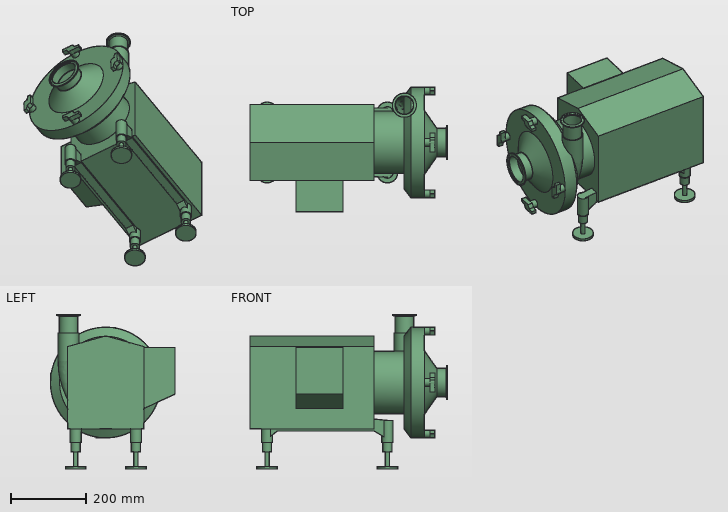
import cadquery as cq
import math


overall_height = 410.0

housing_length = 330.0
housing_half_width = 101.0
housing_bottom_z = -123.2
housing_eave_z = 95.3
housing_ridge_z = 123.7

box_start_x = 122.5
box_length = 125.0
box_front_y = -184.0
box_top_z = 93.0
box_front_bottom_z = -31.0
box_back_bottom_z = -69.0

adapter_radius = 166.0 / 2
casing_radius = 294.0 / 2
casing_back_radius = 122.6
casing_back_x = 408.7
casing_rim_x = 427.0
casing_front_x = 463.0
cover_cone_radius = 85.5
cover_cone_end_x = 496.0

inlet_end_x = 525.0
inlet_radius = 76.3 / 2
inlet_bore = 72.3
inlet_ferrule_radius = 91.0 / 2

outlet_x = 410.0
outlet_y = 98.9
outlet_top_z = 180.0
outlet_step_z = 132.0
outlet_bottom_z = 56.0
outlet_radius = 50.8 / 2
outlet_lower_radius = 55.8 / 2
outlet_bore_radius = 47.8 / 2
outlet_ferrule_radius = 64.0 / 2
volute_wall = outlet_lower_radius - outlet_bore_radius
volute_sections = [(0.0, 100.0, 19.0), (32.0, 105.0, 6.0)]

ferrule_rim = 2.8
ferrule_bevel = 1.6
ferrule_bevel_height = 4.0

nut_count = 4
nut_hub_radius = 21.0 / 2
nut_back_x = 477.6
nut_front_x = 491.0
wing_half_span = 25.3
wing_face = 10.06
wing_root = 6.4
wing_knee = 12.7
wing_knee_offset = 0.2
wing_tip_offset = 1.6

rear_leg_x = 45.7
front_leg_x = 365.0
leg_y = 80.0
leg_top_z = -100.2
leg_step_z = -158.8
sleeve_bottom_z = -184.0
foot_thickness = 7.0
foot_bottom_z = outlet_top_z - overall_height
leg_diameter = 30.0
sleeve_diameter = 25.0
spindle_diameter = 12.0
foot_diameter = 55.0
rail_width = 23.0
rail_bottom_z = -129.0
rail_end_bottom_z = -150.0
rail_flare_start_x = 73.3
rail_flare_end_x = housing_length
rail_shoulder_z = -96.6


def cylinder_z(x, y, diameter, bottom_z, top_z):
    """Upright cylinder between two heights."""
    disc = cq.Workplane("XY", origin=(x, y, bottom_z)).circle(diameter / 2)
    return disc.extrude(top_z - bottom_z)


def cylinder_x(y, z, diameter, start_x, end_x):
    """Cylinder along X between two stations."""
    disc = cq.Workplane("YZ", origin=(start_x, y, z)).circle(diameter / 2)
    return disc.extrude(end_x - start_x)


def ferrule_points(pipe_radius, rim_radius, end):
    """Outline (radius, station) of a ferrule, from its rim to the foot of its bevel."""
    rim_back = end - ferrule_rim
    return [
        (rim_radius, end),
        (rim_radius, rim_back),
        (pipe_radius + ferrule_bevel_height, rim_back),
        (pipe_radius, rim_back - ferrule_bevel),
    ]


def make_housing():
    profile = [
        (-housing_half_width, housing_bottom_z),
        (housing_half_width, housing_bottom_z),
        (housing_half_width, housing_eave_z),
        (0, housing_ridge_z),
        (-housing_half_width, housing_eave_z),
    ]
    return cq.Workplane("YZ").polyline(profile).close().extrude(housing_length)


def make_control_box():
    profile = [
        (-housing_half_width, box_top_z),
        (box_front_y, box_top_z),
        (box_front_y, box_front_bottom_z),
        (-housing_half_width, box_back_bottom_z),
    ]
    plane = cq.Workplane("YZ", origin=(box_start_x, 0, 0))
    return plane.polyline(profile).close().extrude(box_length)


def make_casing():
    """Adapter, casing, cover cone and inlet as one turned body with the inlet bored."""
    ferrule = ferrule_points(inlet_radius, inlet_ferrule_radius, inlet_end_x)
    profile = [
        (housing_length, 0),
        (housing_length, adapter_radius),
        (casing_back_x, adapter_radius),
        (casing_back_x, casing_back_radius),
        (casing_rim_x, casing_radius),
        (casing_front_x, casing_radius),
        (casing_front_x, cover_cone_radius),
        (cover_cone_end_x, inlet_radius),
    ]
    profile += [(x, radius) for radius, x in reversed(ferrule)]
    profile.append((inlet_end_x, 0))
    body = cq.Workplane("XY").polyline(profile).close().revolve(360, (0, 0, 0), (1, 0, 0))
    return body.cut(cylinder_x(0, 0, inlet_bore, cover_cone_end_x, inlet_end_x))


def volute_loft(start_radius, inset):
    """Loft from the pipe end down through the shrinking volute sections."""
    center = cq.Vector(outlet_x, outlet_y, outlet_bottom_z)
    wires = [cq.Wire.makeCircle(start_radius, center, cq.Vector(0, 0, -1))]
    for angle_deg, distance, radius in volute_sections:
        angle = math.radians(angle_deg)
        center = cq.Vector(outlet_x, distance * math.cos(angle), -distance * math.sin(angle))
        direction = cq.Vector(0, -math.sin(angle), -math.cos(angle))
        wires.append(cq.Wire.makeCircle(radius - inset, center, direction))
    return cq.Workplane(cq.Solid.makeLoft(wires))


def make_outlet():
    """Hollow stepped outlet pipe that runs down into the volute."""
    ferrule = ferrule_points(outlet_radius, outlet_ferrule_radius, outlet_top_z)
    profile = [(0, outlet_top_z)] + ferrule
    profile += [
        (outlet_radius, outlet_step_z),
        (outlet_lower_radius, outlet_step_z),
        (outlet_lower_radius, outlet_bottom_z),
        (0, outlet_bottom_z),
    ]
    plane = cq.Workplane("XZ", origin=(outlet_x, outlet_y, 0))
    pipe = plane.polyline(profile).close().revolve(360, (0, 0, 0), (0, 1, 0))
    bore = cylinder_z(outlet_x, outlet_y, 2 * outlet_bore_radius, outlet_bottom_z, outlet_top_z)
    outside = pipe.union(volute_loft(outlet_lower_radius, 0))
    return outside.cut(bore).cut(volute_loft(outlet_bore_radius, volute_wall))


def make_wing_nut():
    """Stud and S-shaped wing nut at the top of the cover."""
    center_z = casing_radius - nut_hub_radius
    half = [
        (wing_root, wing_face),
        (wing_knee, -wing_knee_offset),
        (wing_half_span, -wing_tip_offset),
        (wing_half_span, -wing_face),
    ]
    profile = half + [(-y, -z) for y, z in half]
    plane = cq.Workplane("YZ", origin=(nut_back_x, 0, center_z))
    wings = plane.polyline(profile).close().extrude(nut_front_x - nut_back_x)
    return wings.union(cylinder_x(0, center_z, 2 * nut_hub_radius, casing_front_x, nut_front_x))


def make_leg(x, y):
    foot_top_z = foot_bottom_z + foot_thickness
    leg = cylinder_z(x, y, leg_diameter, leg_step_z, leg_top_z)
    leg = leg.union(cylinder_z(x, y, sleeve_diameter, sleeve_bottom_z, leg_step_z))
    leg = leg.union(cylinder_z(x, y, spindle_diameter, foot_top_z, sleeve_bottom_z))
    return leg.union(cylinder_z(x, y, foot_diameter, foot_bottom_z, foot_top_z))


def make_rail(y):
    """Rail between a rear and a front leg, deepened at both ends."""
    profile = [
        (rear_leg_x, leg_top_z),
        (rail_flare_start_x, rail_shoulder_z),
        (rail_flare_end_x, rail_shoulder_z),
        (front_leg_x, leg_top_z),
        (front_leg_x, rail_end_bottom_z),
        (rail_flare_end_x, rail_bottom_z),
        (rail_flare_start_x, rail_bottom_z),
        (rear_leg_x, rail_end_bottom_z),
    ]
    plane = cq.Workplane("XZ", origin=(0, y + rail_width / 2, 0))
    return plane.polyline(profile).close().extrude(rail_width)


pump = make_housing().union(make_control_box())
pump = pump.union(make_casing())
pump = pump.union(make_outlet())

wing_nut = make_wing_nut()
for index in range(nut_count):
    turn = index * 360 / nut_count
    pump = pump.union(wing_nut.rotate((0, 0, 0), (1, 0, 0), turn))

for side_y in (-leg_y, leg_y):
    pump = pump.union(make_rail(side_y))
    for leg_x in (rear_leg_x, front_leg_x):
        pump = pump.union(make_leg(leg_x, side_y))

result = pump